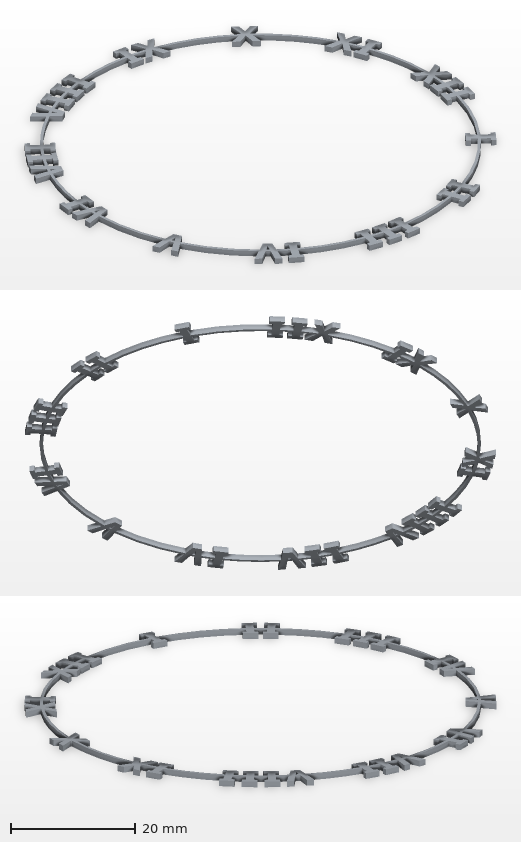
import cadquery as cq
import math

overall_diameter = 76.05
thickness = 1.0
ring_radius = 35.3
ring_width = 0.5
letter_height = 4.95

i_stem_width = 1.3
i_serif_width = 2.5
i_serif_thickness = 0.8

v_top_width = 4.5
v_arm_width = 1.2
v_foot_width = 1.5
v_notch_y = -1.6

x_top_width = 4.3
x_top_arm_width = 1.3
x_bottom_width = 4.7
x_bottom_arm_width = 1.4
x_crossing_y = 0.15
x_crossing_width = 1.45
x_notch_rise = 0.7

letter_top = letter_height / 2
letter_radius = math.sqrt((overall_diameter / 2) ** 2 - (i_serif_width / 2) ** 2) - letter_top

narrow_step = 5.6
wide_step = 6.85

numerals = [
    ("XII", 0.5),
    ("I", 36.5),
    ("II", 62.9),
    ("III", 89.0),
    ("IV", 120.8),
    ("V", 153.4),
    ("VI", 179.2),
    ("VII", 204.8),
    ("VIII", 235.9),
    ("IX", 272.8),
    ("X", 305.7),
    ("XI", 331.8),
]


def mirrored(right_side):
    """Close an outline from its right side, listed from top to bottom."""
    left_side = [(-x, y) for x, y in reversed(right_side) if x > 0]
    return right_side + left_side


def i_outline():
    serif_edge = letter_top - i_serif_thickness
    stem = i_stem_width / 2
    serif = i_serif_width / 2
    return mirrored([
        (serif, letter_top),
        (serif, serif_edge),
        (stem, serif_edge),
        (stem, -serif_edge),
        (serif, -serif_edge),
        (serif, -letter_top),
    ])


def v_outline():
    return mirrored([
        (0, v_notch_y),
        (v_top_width / 2 - v_arm_width, letter_top),
        (v_top_width / 2, letter_top),
        (v_foot_width / 2, -letter_top),
    ])


def x_outline():
    return mirrored([
        (0, x_crossing_y + x_notch_rise),
        (x_top_width / 2 - x_top_arm_width, letter_top),
        (x_top_width / 2, letter_top),
        (x_crossing_width / 2, x_crossing_y),
        (x_bottom_width / 2, -letter_top),
        (x_bottom_width / 2 - x_bottom_arm_width, -letter_top),
        (0, x_crossing_y - x_notch_rise),
    ])


letter_outlines = {"I": i_outline(), "V": v_outline(), "X": x_outline()}


def letter(name, clockwise_angle):
    """One letter with its top pointing outward, turned to its place on the ring."""
    flat = cq.Workplane("XY").polyline(letter_outlines[name]).close().extrude(thickness)
    upright = flat.translate((0, letter_radius, 0))
    return upright.rotate((0, 0, 0), (0, 0, 1), -clockwise_angle)


def step_between(first, second):
    return narrow_step if first == second else wide_step


ring = (
    cq.Workplane("XY")
    .circle(ring_radius + ring_width / 2)
    .circle(ring_radius - ring_width / 2)
    .extrude(thickness)
)

result = ring
for numeral, first_angle in numerals:
    angle = first_angle
    previous = None
    for name in numeral:
        if previous:
            angle += step_between(previous, name)
        result = result.union(letter(name, angle))
        previous = name